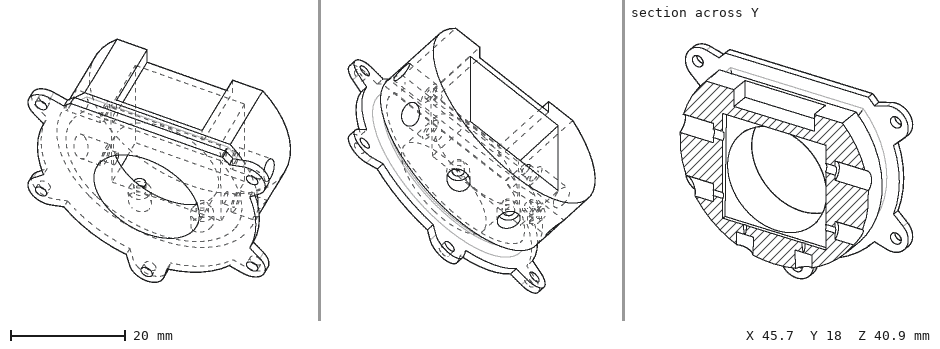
import cadquery as cq
import math

total_depth = 18.0
flange_thickness = 1.5
groove_width = 3.0
neck_start = flange_thickness
body_start = neck_start + groove_width
body_depth = total_depth - body_start

flange_radius = 21.0
flange_flat_height = 15.07
body_radius = 19.35
body_flat_height = 13.4
groove_depth = 2.25
neck_radius = body_radius - groove_depth
neck_flat_height = body_flat_height - groove_depth
groove_fillet = 1.32

overall_width = 45.7
lug_pitch = 60.0
lug_angles = [-90.0 + lug_pitch * step for step in (-2, -1, 0, 1, 2)]
lug_tip_radius = 3.4
lug_root_half_width = 3.95
lug_hole_diameter = 2.2
lug_hole_circle_radius = 23.45
lug_tip_center = (overall_width / 2 - lug_tip_radius) / math.cos(math.radians(lug_pitch / 2))

notch_width = 16.45
notch_depth = 3.4
notch_start = 5.35

tilt_angle = 1.3
axis_height = -2.92
bore_diameter = 20.3
cavity_start = 8.1
cavity_width = 21.0

screw_position = 9.8
screw_spacing = 12.0
screw_hole_diameter = 2.2
screw_head_diameter = 4.0
screw_seat_wall = 2.0

clearance = 4.55


def flat_topped_disc(radius, flat_height, start, depth):
    """Disc along Y with its top cut off level at flat_height."""
    half_flat = math.sqrt(radius**2 - flat_height**2)
    return (
        cq.Workplane("XZ", origin=(0, start, 0))
        .moveTo(-half_flat, flat_height)
        .threePointArc((0, -radius), (half_flat, flat_height))
        .close()
        .extrude(-depth)
    )


def make_lug(angle):
    """Tapered lug with a round tip, pointing from the Y axis at the given angle in XZ."""
    root = math.sqrt(flange_radius**2 - lug_root_half_width**2)
    root_offset = root - lug_tip_center
    root_distance = math.hypot(root_offset, lug_root_half_width)
    tangent_angle = math.atan2(lug_root_half_width, root_offset) - math.acos(lug_tip_radius / root_distance)
    tangent_x = lug_tip_center + lug_tip_radius * math.cos(tangent_angle)
    tangent_z = lug_tip_radius * math.sin(tangent_angle)
    lug = (
        cq.Workplane("XZ")
        .moveTo(0, 0)
        .lineTo(root, -lug_root_half_width)
        .lineTo(tangent_x, -tangent_z)
        .threePointArc((lug_tip_center + lug_tip_radius, 0), (tangent_x, tangent_z))
        .lineTo(root, lug_root_half_width)
        .close()
        .extrude(-flange_thickness)
    )
    return lug.rotate((0, 0, 0), (0, -1, 0), angle)


def make_flange():
    flange = flat_topped_disc(flange_radius, flange_flat_height, 0, flange_thickness)
    for angle in lug_angles:
        flange = flange.union(make_lug(angle))
    hole_centers = [
        (
            lug_hole_circle_radius * math.cos(math.radians(angle)),
            lug_hole_circle_radius * math.sin(math.radians(angle)),
        )
        for angle in lug_angles
    ]
    holes = (
        cq.Workplane("XZ")
        .pushPoints(hole_centers)
        .circle(lug_hole_diameter / 2)
        .extrude(-flange_thickness)
    )
    return flange.cut(holes)


def make_neck_and_body():
    """Body and neck on a plain front disc, with both groove corners filleted."""
    front_disc = flat_topped_disc(body_radius, body_flat_height, 0, flange_thickness)
    neck = flat_topped_disc(neck_radius, neck_flat_height, neck_start, groove_width)
    body = flat_topped_disc(body_radius, body_flat_height, body_start, body_depth)
    spool = front_disc.union(neck).union(body)
    reach = neck_radius + groove_depth / 2
    groove_box = cq.selectors.BoxSelector(
        (-reach, 0, -reach),
        (reach, total_depth, neck_flat_height + groove_depth / 2),
        boundingbox=True,
    )
    return spool.faces("|Y").edges(groove_box).fillet(groove_fillet)


def make_notch():
    floor_height = body_flat_height - notch_depth
    return cq.Workplane("XY").box(
        notch_width, total_depth - notch_start, notch_depth, centered=(True, False, False)
    ).translate((0, notch_start, floor_height))


def make_screw_cutter():
    """Pair of counterbored holes through the bottom cavity wall, axes along -Z."""
    cavity_wall = cavity_width / 2
    centers = [(side * screw_spacing / 2, screw_position) for side in (-1, 1)]
    shanks = (
        cq.Workplane("XY")
        .pushPoints(centers)
        .circle(screw_hole_diameter / 2)
        .extrude(-body_radius)
    )
    heads = (
        cq.Workplane("XY", origin=(0, 0, -cavity_wall - screw_seat_wall))
        .pushPoints(centers)
        .circle(screw_head_diameter / 2)
        .extrude(-body_radius)
    )
    return shanks.union(heads)


def make_interior():
    """Bore, cavity and screw holes, built square to Y and then tilted together."""
    interior = (
        cq.Workplane("XZ", origin=(0, -clearance, 0))
        .circle(bore_diameter / 2)
        .extrude(-(cavity_start + clearance))
    )
    cavity = (
        cq.Workplane("XZ", origin=(0, cavity_start, 0))
        .rect(cavity_width, cavity_width)
        .extrude(-(total_depth - cavity_start + clearance))
    )
    interior = interior.union(cavity)
    for wall_angle in (-90, 0, 90):
        interior = interior.union(make_screw_cutter().rotate((0, 0, 0), (0, 1, 0), wall_angle))
    return interior.rotate((0, 0, 0), (1, 0, 0), tilt_angle).translate((0, 0, axis_height))


result = make_flange().union(make_neck_and_body()).cut(make_notch()).cut(make_interior())